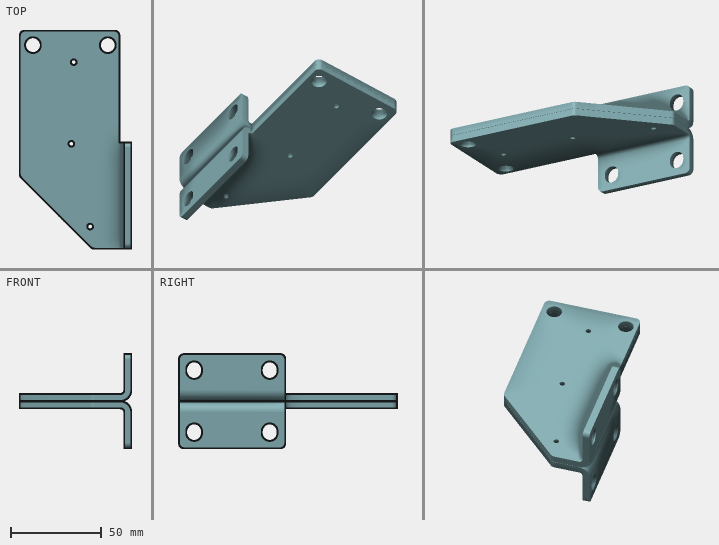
import cadquery as cq

TOTAL_WIDTH = 61.5
TOTAL_LENGTH = 120.0
TOTAL_HEIGHT = 52.0

GAP = 0.1
THICKNESS = 4.0
INNER_BEND_RADIUS = 2.0
OUTER_BEND_RADIUS = INNER_BEND_RADIUS + THICKNESS
CORNER_RADIUS = 3.0

PLATE_WIDTH = 55.0
CHAMFER = 40.0
MOUNT_HOLE_DIAMETER = 8.5
MOUNT_HOLES = [(7.3, 112.0), (48.5, 112.0)]
SMALL_HOLE_DIAMETER = 3.0
SMALL_HOLES = [(29.8, 102.6), (28.5, 57.7), (38.8, 12.2)]

FLANGE_LENGTH = 58.5
BEND_START = TOTAL_WIDTH - OUTER_BEND_RADIUS
FLANGE_INNER_X = TOTAL_WIDTH - THICKNESS
FLANGE_TOP = TOTAL_HEIGHT / 2
SLOT_WIDTH = 8.5
SLOT_HEIGHT = 9.5
SLOT_Z = 17.0
SLOT_YS = [8.4, 49.9]

BASE_Z = GAP / 2


def make_plate():
    """Flat plate with one large sloped corner and rounded outline corners."""
    return (
        cq.Workplane("XY", origin=(0, 0, BASE_Z))
        .moveTo(CHAMFER, 0)
        .lineTo(PLATE_WIDTH, 0)
        .lineTo(PLATE_WIDTH, TOTAL_LENGTH)
        .lineTo(0, TOTAL_LENGTH)
        .lineTo(0, CHAMFER)
        .close()
        .extrude(THICKNESS)
        .edges("|Z")
        .fillet(CORNER_RADIUS)
    )


def make_flange():
    """Bend and upright flange, with a strip that overlaps the plate and squares its corner."""
    bend_center_z = BASE_Z + OUTER_BEND_RADIUS
    overlap_x = PLATE_WIDTH - THICKNESS
    flange = (
        cq.Workplane("XZ")
        .moveTo(overlap_x, BASE_Z)
        .lineTo(BEND_START, BASE_Z)
        .radiusArc((TOTAL_WIDTH, bend_center_z), -OUTER_BEND_RADIUS)
        .lineTo(TOTAL_WIDTH, FLANGE_TOP)
        .lineTo(FLANGE_INNER_X, FLANGE_TOP)
        .lineTo(FLANGE_INNER_X, bend_center_z)
        .radiusArc((BEND_START, BASE_Z + THICKNESS), INNER_BEND_RADIUS)
        .lineTo(overlap_x, BASE_Z + THICKNESS)
        .close()
        .extrude(-FLANGE_LENGTH)
    )
    return flange.faces(">Z").edges("|X").fillet(CORNER_RADIUS)


def make_plate_holes():
    """Cutters for the mounting holes and the small holes in the plate."""
    base = cq.Workplane("XY", origin=(0, 0, BASE_Z))
    mount_holes = base.pushPoints(MOUNT_HOLES).circle(MOUNT_HOLE_DIAMETER / 2).extrude(THICKNESS)
    small_holes = base.pushPoints(SMALL_HOLES).circle(SMALL_HOLE_DIAMETER / 2).extrude(THICKNESS)
    return mount_holes.add(small_holes).combine()


def make_flange_slots():
    """Cutters for the short upright slots in the flange."""
    return (
        cq.Workplane("YZ", origin=(FLANGE_INNER_X, 0, 0))
        .pushPoints([(y, SLOT_Z) for y in SLOT_YS])
        .slot2D(SLOT_HEIGHT, SLOT_WIDTH, 90)
        .extrude(THICKNESS)
    )


def make_bracket():
    """Bent bracket with its flange pointing up."""
    return make_plate().union(make_flange()).cut(make_plate_holes()).cut(make_flange_slots())


upper_bracket = make_bracket()
lower_bracket = make_bracket().mirror("XY")

result = cq.Compound.makeCompound([upper_bracket.val(), lower_bracket.val()])